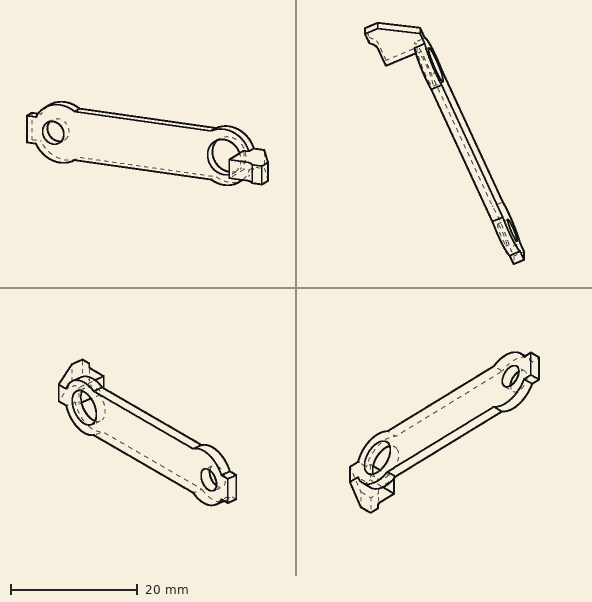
import cadquery as cq
import math

length = 44.25
plate_thickness = 1.8
bar_width = 8.05

tail_head_x = 5.8
tail_head_diameter = 9.55
tail_hole_x = 4.6
tail_hole_diameter = 3.7
tab_width = 4.43

hook_head_x = 34.6
hook_head_diameter = 9.25
hook_hole_diameter = 5.8

hook_width = 3.05
hook_start_x = 38.07
hook_back_end_x = 40.8
hook_slope_end_depth = 5.8
hook_depth = 7.13
lip_depth = 8.0
lip_start_x = 42.6
lip_ramp_angle = math.radians(45)
lip_fillet_radius = 1.37


def plate_block(start_x, end_x, width):
    """Rectangular piece of the plate, centred on Z, with its back face at Y = 0."""
    size_x = end_x - start_x
    return cq.Workplane("XY").box(size_x, plate_thickness, width).translate(
        ((start_x + end_x) / 2, -plate_thickness / 2, 0)
    )


def disc(center_x, diameter):
    """Round piece through the full plate thickness."""
    return cq.Workplane("XZ").center(center_x, 0).circle(diameter / 2).extrude(plate_thickness)


def make_hook():
    """Sloped hook whose front face rises to a lip through a concave arc and a ramp."""
    arc_run = lip_fillet_radius * math.sin(lip_ramp_angle)
    arc_rise = lip_fillet_radius * (1 - math.cos(lip_ramp_angle))
    ramp_start_depth = hook_depth + arc_rise
    ramp_start_x = lip_start_x - (lip_depth - ramp_start_depth) / math.tan(lip_ramp_angle)
    return (
        cq.Workplane("XY")
        .moveTo(hook_start_x, 0)
        .lineTo(hook_back_end_x, 0)
        .lineTo(length, -hook_slope_end_depth)
        .lineTo(length, -lip_depth)
        .lineTo(lip_start_x, -lip_depth)
        .lineTo(ramp_start_x, -ramp_start_depth)
        .radiusArc((ramp_start_x - arc_run, -hook_depth), -lip_fillet_radius)
        .lineTo(hook_start_x, -hook_depth)
        .close()
        .extrude(hook_width / 2, both=True)
    )


arm = plate_block(tail_head_x, hook_head_x, bar_width)
arm = arm.union(plate_block(0, tail_head_x, tab_width))
arm = arm.union(disc(tail_head_x, tail_head_diameter))
arm = arm.union(disc(hook_head_x, hook_head_diameter))
arm = arm.union(make_hook())

arm = arm.cut(disc(tail_hole_x, tail_hole_diameter))
result = arm.cut(disc(hook_head_x, hook_hole_diameter))